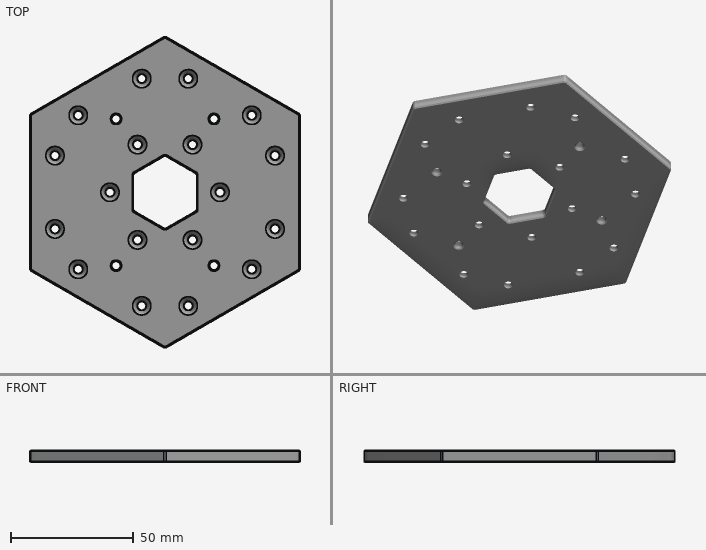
import cadquery as cq
import math

plate_length = 127.0
thickness = 5.0
edge_chamfer = 0.5
sides = 6
side_angle = 360 / sides
apothem_per_circumradius = math.cos(math.pi / sides)

corner_loss = edge_chamfer * math.sin(math.pi / sides)
plate_circumradius = plate_length / 2 + corner_loss

window_circumradius = 15.0

screw_diameter = 3.5
countersink_diameter = 7.5
countersink_angle = 90
inner_ring_radius = 22.5
outer_row_distance = 45.0
outer_row_half_pitch = 15.0

pin_diameter = 3.5
pin_spacing_x = 40.0
pin_spacing_y = 60.0


def hexagonal_prism(circumradius):
    """Hexagonal prism standing on Z = 0, with chamfered corners, two of them on the Y axis."""
    prism = (
        cq.Workplane("XY")
        .polygon(sides, 2 * circumradius)
        .extrude(thickness)
        .edges("|Z")
        .chamfer(edge_chamfer)
    )
    return prism.rotate((0, 0, 0), (0, 0, 1), side_angle / 2)


def rotated(point, angle):
    """Turn an XY point about the centre by an angle in degrees."""
    x, y = point
    cosine = math.cos(math.radians(angle))
    sine = math.sin(math.radians(angle))
    return (x * cosine - y * sine, x * sine + y * cosine)


def screw_positions():
    """One inner and two outer screw holes for each side of the plate."""
    pattern = [
        (inner_ring_radius, 0),
        (outer_row_distance, outer_row_half_pitch),
        (outer_row_distance, -outer_row_half_pitch),
    ]
    return [rotated(point, side * side_angle) for side in range(sides) for point in pattern]


plate = (
    hexagonal_prism(plate_circumradius)
    .cut(hexagonal_prism(window_circumradius))
    .faces(">Z")
    .workplane(origin=(0, 0, thickness))
    .rarray(pin_spacing_x, pin_spacing_y, 2, 2)
    .hole(pin_diameter)
    .faces("<Z or >Z")
    .chamfer(edge_chamfer)
)

result = (
    plate.faces(">Z")
    .workplane(origin=(0, 0, thickness))
    .pushPoints(screw_positions())
    .cskHole(screw_diameter, countersink_diameter, countersink_angle)
)